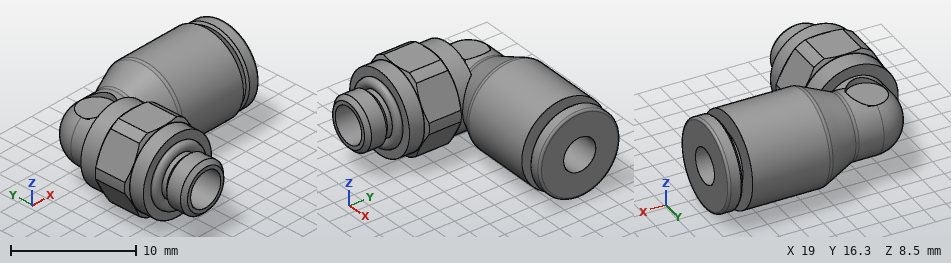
import cadquery as cq
import math


elbow_radius = 2.94
sleeve_radius = 4.25
cone_start = 2.43
cone_end = 5.43
cone_blend = 0.17
sleeve_end = 12.58
release_neck_radius = 2.6
release_ring_start = 13.3
release_ring_end = 14.63
release_ring_radius = 4.05
release_ring_edge = 0.2

collar_start = 2.05
collar_radius = 3.95
hex_start = 3.83
hex_end = 7.45
hex_across_flats = 8.0
hex_corner_radius = 4.35
hex_chamfer_run = 0.2
hex_chamfer_drop = 0.36
collar_end = 8.93
thread_start = 9.75
thread_radius = 2.5
thread_chamfer = 0.4
thread_neck_radius = thread_radius - thread_chamfer
stem_end = 12.05

o_ring_radius = 0.5
o_ring_center_radius = thread_neck_radius + o_ring_radius
o_ring_center = 9.01

elbow_bore_radius = 1.61
stem_bore_radius = 1.75
stem_bore_top = 2.85

label_radius = 1.75
label_height = 2.37


def along_x(radius, start, end):
    """Cylinder about the X axis from x = start to x = end."""
    return cq.Workplane("YZ").workplane(offset=start).circle(radius).extrude(end - start)


def along_stem(radius, start, end):
    """Cylinder about the Y axis from y = -start to y = -end."""
    return cq.Workplane("XZ").workplane(offset=start).circle(radius).extrude(end - start)


def make_tube_body():
    """Elbow arm, blended cone and sleeve, turned about X."""
    slope = math.atan2(sleeve_radius - elbow_radius, cone_end - cone_start)
    blend_x = cone_blend * math.cos(slope)
    blend_r = cone_blend * math.sin(slope)
    profile = (
        cq.Workplane("XY")
        .lineTo(0, elbow_radius)
        .lineTo(cone_start - cone_blend, elbow_radius)
        .tangentArcPoint((cone_start + blend_x, elbow_radius + blend_r), relative=False)
        .lineTo(cone_end - blend_x, sleeve_radius - blend_r)
        .tangentArcPoint((cone_end + cone_blend, sleeve_radius), relative=False)
        .lineTo(sleeve_end, sleeve_radius)
        .lineTo(sleeve_end, 0)
        .close()
    )
    return profile.revolve(360, (0, 0, 0), (1, 0, 0))


def make_release_ring():
    """Neck and flanged ring at the tube entry."""
    ring = along_x(release_ring_radius, release_ring_start, release_ring_end)
    ring = ring.faces("<X").edges().chamfer(release_ring_edge)
    ring = ring.faces(">X").edges().fillet(release_ring_edge)
    return ring.union(along_x(release_neck_radius, sleeve_end, release_ring_start))


def make_hex():
    """Hexagon with its corners turned round and both ends chamfered."""
    length = hex_end - hex_start
    across_corners = hex_across_flats / math.cos(math.pi / 6)
    prism = cq.Workplane("XZ").workplane(offset=hex_start).polygon(6, across_corners).extrude(length)
    hex_end_radius = hex_corner_radius - hex_chamfer_drop
    turned = (
        cq.Workplane("XY")
        .moveTo(0, -hex_start)
        .lineTo(hex_end_radius, -hex_start)
        .lineTo(hex_corner_radius, -hex_start - hex_chamfer_run)
        .lineTo(hex_corner_radius, -hex_end + hex_chamfer_run)
        .lineTo(hex_end_radius, -hex_end)
        .lineTo(0, -hex_end)
        .close()
        .revolve(360, (0, 0, 0), (0, 1, 0))
    )
    return prism.intersect(turned)


def make_stem():
    """Collar, hexagon, neck, O-ring and threaded end."""
    thread = along_stem(thread_radius, thread_start, stem_end)
    thread = thread.faces("<Y or >Y").edges().chamfer(thread_chamfer)
    o_ring = (
        cq.Workplane("XY")
        .center(o_ring_center_radius, -o_ring_center)
        .circle(o_ring_radius)
        .revolve(360, (-o_ring_center_radius, 0, 0), (-o_ring_center_radius, 1, 0))
    )
    return (
        along_stem(collar_radius, collar_start, collar_end)
        .union(make_hex())
        .union(along_stem(thread_neck_radius, collar_end, thread_start))
        .union(o_ring)
        .union(thread)
    )


def make_passage():
    """Bore running up the stem, round the elbow and out through the tube side."""
    return (
        cq.Workplane("XY").sphere(elbow_bore_radius)
        .union(along_x(elbow_bore_radius, 0, release_ring_end))
        .union(along_stem(elbow_bore_radius, 0, stem_bore_top))
        .union(along_stem(stem_bore_radius, stem_bore_top, stem_end))
    )


elbow = cq.Workplane("XY").sphere(elbow_radius).union(along_stem(elbow_radius, 0, collar_start))
label_recess = cq.Workplane("XY").workplane(offset=label_height).circle(label_radius).extrude(elbow_radius)

result = (
    elbow
    .union(make_tube_body())
    .union(make_release_ring())
    .union(make_stem())
    .cut(make_passage())
    .cut(label_recess)
)